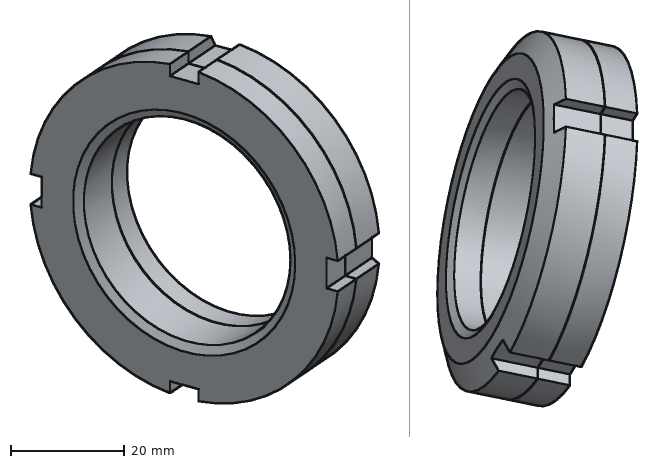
import cadquery as cq
import math

OUTER_RADIUS = 32.5
BORE_RADIUS = 21.75
WIDTH = 16.0

RIM_JOINT_Y = 6.0
SPIGOT_END_Y = 10.0
JOINT_GAP = 0.1
SPIGOT_RADIUS = 26.0

BACK_FACE_RADIUS = 28.0
BEVEL_ANGLE = 30.0
BEVEL_LENGTH = (OUTER_RADIUS - BACK_FACE_RADIUS) * math.tan(math.radians(BEVEL_ANGLE))

CHAMFER_RADIAL = 1.65
CHAMFER_AXIAL = CHAMFER_RADIAL * math.tan(math.radians(BEVEL_ANGLE))
CHAMFER_RADIUS = BORE_RADIUS + CHAMFER_RADIAL

SLOT_COUNT = 4
SLOT_WIDTH = 6.0
SLOT_DEPTH = 2.5
SLOT_FLOOR_RADIUS = OUTER_RADIUS - SLOT_DEPTH


def revolve_about_y(profile_points):
    """Revolve a closed (radius, y) profile around the Y axis."""
    profile = cq.Workplane("XY").polyline(profile_points).close()
    return profile.revolve(360, (0, 0, 0), (0, 1, 0))


def cut_spanner_slots(ring):
    """Cut the rim slots along the full width of a ring."""
    slot = cq.Workplane("XY").box(
        2 * SLOT_DEPTH, WIDTH, SLOT_WIDTH, centered=(False, False, True)
    ).translate((SLOT_FLOOR_RADIUS, 0, 0))
    for index in range(SLOT_COUNT):
        angle = index * 360 / SLOT_COUNT
        ring = ring.cut(slot.rotate((0, 0, 0), (0, 1, 0), angle))
    return ring


def make_front_ring():
    """Flanged ring with a rear spigot and a chamfered bore mouth."""
    blank = revolve_about_y([
        (CHAMFER_RADIUS, 0),
        (OUTER_RADIUS, 0),
        (OUTER_RADIUS, RIM_JOINT_Y),
        (SPIGOT_RADIUS, RIM_JOINT_Y),
        (SPIGOT_RADIUS, SPIGOT_END_Y),
        (BORE_RADIUS, SPIGOT_END_Y),
        (BORE_RADIUS, CHAMFER_AXIAL),
    ])
    return cut_spanner_slots(blank)


def make_back_ring():
    """Ring with a spigot recess, a bevelled rear rim and a chamfered bore mouth."""
    blank = revolve_about_y([
        (BORE_RADIUS, SPIGOT_END_Y + JOINT_GAP),
        (SPIGOT_RADIUS, SPIGOT_END_Y + JOINT_GAP),
        (SPIGOT_RADIUS, RIM_JOINT_Y + JOINT_GAP),
        (OUTER_RADIUS, RIM_JOINT_Y + JOINT_GAP),
        (OUTER_RADIUS, WIDTH - BEVEL_LENGTH),
        (BACK_FACE_RADIUS, WIDTH),
        (CHAMFER_RADIUS, WIDTH),
        (BORE_RADIUS, WIDTH - CHAMFER_AXIAL),
    ])
    return cut_spanner_slots(blank)


front_ring = make_front_ring()
back_ring = make_back_ring()

result = cq.Compound.makeCompound([front_ring.val(), back_ring.val()])